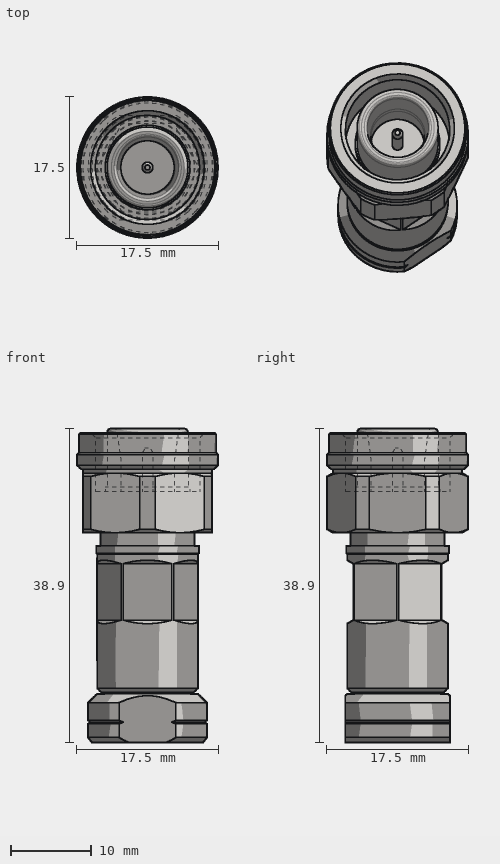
import cadquery as cq
import math

total_height = 38.9

hex_sides = 6

clamp_radius = 7.4
clamp_flat_width = 13.0
clamp_foot_radius = 6.9
clamp_foot_height = 0.62
clamp_cone_start = 4.95
clamp_top = 6.03
groove_centre = 2.53
groove_depth = 0.25

body_radius = 6.25
body_bottom = 6.22
body_chamfer = 0.5
undercut_radius = 5.33
flat_width = 10.97
flat_bottom = 15.17
flat_top = 22.15
runout_angle = 30
shoulder_radius = 6.38
shoulder_bottom = 23.45
shoulder_top = 24.35
shoulder_chamfer = shoulder_radius - body_radius
neck_radius = 5.85

coupling_radius = 8.75
hex_width = 16.03
hex_bottom = 26.0
hex_top = 33.38
hex_chamfer_angle = 30
flange_bottom = 33.85
flange_chamfer = 0.5
flange_top = 35.9
rim_radius = 8.5
rim_top = 38.35
rim_chamfer = 0.2

recess_radius = 6.45
recess_chamfer = 0.6
recess_floor = 31.12
collar_radius = 5.25
collar_height = 0.6

tube_radius = 5.0
tube_outer_round = 0.5
mouth_radius = 3.8
mouth_round = 0.35
socket_radius = 3.3
taper_bottom_radius = 3.4
taper_bottom = 35.48
straight_bore_top = 34.75
socket_floor = recess_floor

pin_radius = 0.65
pin_tip_radius = 0.3
pin_top = 36.5
pin_cone_height = 0.6


def revolve(outline):
    """Turn a closed (radius, height) outline about the Z axis."""
    return outline.close().revolve(360, (0, 0, 0), (0, 1, 0))


def turned(points):
    """Turn a straight-sided outline of (radius, height) points."""
    return revolve(cq.Workplane("XZ").polyline(points))


def clamp_nut():
    """Round nut with a V groove and two opposite flats."""
    nut = turned([
        (0, 0),
        (clamp_foot_radius, 0),
        (clamp_radius, clamp_foot_height),
        (clamp_radius, groove_centre - groove_depth),
        (clamp_radius - groove_depth, groove_centre),
        (clamp_radius, groove_centre + groove_depth),
        (clamp_radius, clamp_cone_start),
        (body_radius, clamp_top),
        (0, clamp_top),
    ])
    slab = cq.Workplane("XY").rect(2 * clamp_radius, clamp_flat_width).extrude(clamp_top)
    return nut.intersect(slab)


def main_body():
    """Undercut, barrel, shoulder and neck, before the flats are cut."""
    return turned([
        (0, clamp_top),
        (undercut_radius, clamp_top),
        (undercut_radius, body_bottom),
        (body_radius - body_chamfer, body_bottom),
        (body_radius, body_bottom + body_chamfer),
        (body_radius, shoulder_bottom - shoulder_chamfer),
        (shoulder_radius, shoulder_bottom),
        (shoulder_radius, shoulder_top),
        (neck_radius, shoulder_top),
        (neck_radius, hex_bottom),
        (0, hex_bottom),
    ])


def body_flat_cutter():
    """Cutter for the flat facing -Y; both ends slope out of the barrel."""
    reach = body_radius + 0.4
    flat_distance = flat_width / 2
    runout = (reach - flat_distance) * math.tan(math.radians(runout_angle))
    return (
        cq.Workplane("YZ")
        .polyline([
            (-flat_distance, flat_bottom),
            (-flat_distance, flat_top),
            (-reach, flat_top + runout),
            (-reach, flat_bottom - runout),
        ])
        .close()
        .extrude(body_radius, both=True)
    )


def coupling_hex():
    """Hexagon with two corners on Y, rounded and chamfered by turning."""
    chamfer_width = coupling_radius - hex_width / 2
    chamfer_height = chamfer_width * math.tan(math.radians(hex_chamfer_angle))
    blank = turned([
        (0, hex_bottom),
        (hex_width / 2, hex_bottom),
        (coupling_radius, hex_bottom + chamfer_height),
        (coupling_radius, hex_top - chamfer_height),
        (hex_width / 2, hex_top),
        (0, hex_top),
    ])
    corner_diameter = hex_width / math.cos(math.pi / hex_sides)
    prism = (
        cq.Workplane("XY", origin=(0, 0, hex_bottom))
        .polygon(hex_sides, corner_diameter)
        .extrude(hex_top - hex_bottom)
        .rotate((0, 0, 0), (0, 0, 1), 90)
    )
    return blank.intersect(prism)


def coupling_rim():
    """Solid neck, flange and rim above the hexagon."""
    flange_step = coupling_radius - rim_radius
    return turned([
        (0, hex_top),
        (hex_width / 2, hex_top),
        (hex_width / 2, flange_bottom),
        (coupling_radius - flange_chamfer, flange_bottom),
        (coupling_radius, flange_bottom + flange_chamfer),
        (coupling_radius, flange_top - flange_step),
        (rim_radius, flange_top),
        (rim_radius, rim_top - rim_chamfer),
        (rim_radius - rim_chamfer, rim_top),
        (0, rim_top),
    ])


def recess_cutter():
    """Annular space between the rim and the socket tube, leaving a collar at its foot."""
    return turned([
        (collar_radius, recess_floor),
        (recess_radius, recess_floor),
        (recess_radius, rim_top - recess_chamfer),
        (recess_radius + recess_chamfer, rim_top),
        (tube_radius, rim_top),
        (tube_radius, recess_floor + collar_height),
        (collar_radius, recess_floor + collar_height),
    ])


def socket_tube():
    """Solid tube with its rounded outer edge, before it is bored."""
    return revolve(
        cq.Workplane("XZ")
        .moveTo(0, recess_floor)
        .lineTo(tube_radius, recess_floor)
        .lineTo(tube_radius, total_height - tube_outer_round)
        .radiusArc((tube_radius - tube_outer_round, total_height), -tube_outer_round)
        .lineTo(0, total_height)
    )


def socket_cutter():
    """Socket bore: rounded mouth, taper, blend, then a straight bore."""
    return revolve(
        cq.Workplane("XZ")
        .moveTo(0, socket_floor)
        .lineTo(socket_radius, socket_floor)
        .lineTo(socket_radius, straight_bore_top)
        .tangentArcPoint((taper_bottom_radius, taper_bottom), relative=False)
        .lineTo(mouth_radius, total_height - mouth_round)
        .radiusArc((mouth_radius + mouth_round, total_height), mouth_round)
        .lineTo(0, total_height)
    )


def centre_pin():
    """Contact pin with a blunt conical tip."""
    return turned([
        (0, socket_floor),
        (pin_radius, socket_floor),
        (pin_radius, pin_top - pin_cone_height),
        (pin_tip_radius, pin_top),
        (0, pin_top),
    ])


body = main_body()
for side in range(hex_sides):
    body = body.cut(body_flat_cutter().rotate((0, 0, 0), (0, 0, 1), side * 360 / hex_sides))

coupling = coupling_hex().union(coupling_rim()).cut(recess_cutter())
coupling = coupling.union(socket_tube()).cut(socket_cutter()).union(centre_pin())

result = clamp_nut().union(body).union(coupling)